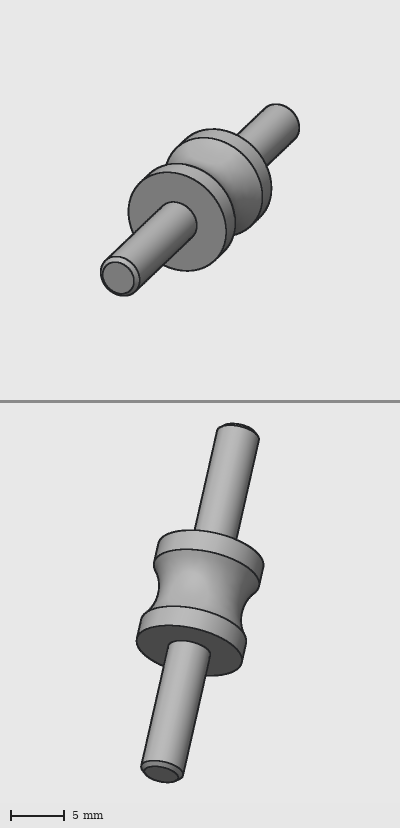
import cadquery as cq

total_length = 36.0
pin_diameter = 4.0
pin_chamfer = 0.4
roller_diameter = 10.0
roller_length = 10.0
flange_width = 2.0
waist_diameter = 8.0

pin_radius = pin_diameter / 2
roller_radius = roller_diameter / 2
waist_radius = waist_diameter / 2
groove_half_width = roller_length / 2 - flange_width


def make_pin():
    """Through pin along Y, centred on the origin, with chamfered ends."""
    pin = cq.Workplane("XZ").circle(pin_radius).extrude(total_length / 2, both=True)
    return pin.faces("<Y or >Y").chamfer(pin_chamfer)


def make_roller():
    """Roller with two cylindrical flanges and a concave arc groove between them."""
    half_length = roller_length / 2
    profile = (
        cq.Workplane("XY")
        .moveTo(0, -half_length)
        .lineTo(roller_radius, -half_length)
        .lineTo(roller_radius, -groove_half_width)
        .threePointArc((waist_radius, 0), (roller_radius, groove_half_width))
        .lineTo(roller_radius, half_length)
        .lineTo(0, half_length)
        .close()
    )
    return profile.revolve(360, (0, 0, 0), (0, 1, 0))


result = make_roller().union(make_pin())